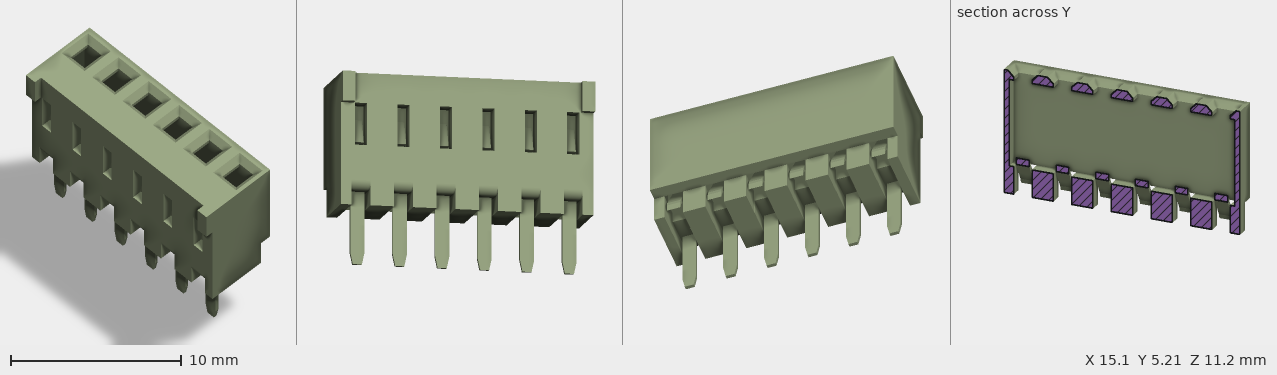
import cadquery as cq
import math

contact_count = 6
pitch = 2.55

housing_width = 15.14
housing_depth = 4.71
housing_height = 7.89
rear_step_depth = 0.75
rear_step_height = 1.79

ear_width = 0.75
ear_height = 1.79
ear_reach = 0.5

cavity_width = 1.15
cavity_length = 1.4
funnel_size = 0.38
neck_height = 0.23

chamber_end_wall = 0.36

slot_width = 1.14
slot_height = 0.98
slot_round = 0.5

pin_width = 0.85
pin_thickness = 0.21
pin_front = 1.03
pin_reach = 3.35
pin_tip_width = 0.55
pin_tip_height = 0.7
lance_width = 0.53
lance_drop = 0.83
lance_height = 1.42
lance_angle = 21.0
spring_slope = math.radians(61.6)
tail_slope = math.radians(75.0)
tail_length = 0.08

window_width = 0.73
window_height = 2.51

cavity_rear = housing_depth - rear_step_depth
cavity_front = cavity_rear - cavity_length
window_top = housing_height - ear_height
contact_places = [((i - (contact_count - 1) / 2) * pitch, 0, 0) for i in range(contact_count)]


def extrude_side_profile(points, width):
    """Extrude a closed (y, z) outline along x, centred on x = 0."""
    return cq.Workplane("YZ").polyline(points).close().extrude(width / 2, both=True)


def block(width, y_start, y_end, z_start, z_end):
    """Box centred on x = 0."""
    return (
        cq.Workplane("XY")
        .box(width, y_end - y_start, z_end - z_start, centered=(True, False, False))
        .translate((0, y_start, z_start))
    )


def at_each_contact(shape):
    """Copies of one shape at every contact position."""
    copies = cq.Workplane("XY")
    for place in contact_places:
        copies = copies.add(shape.translate(place))
    return copies.combine()


def make_housing():
    outline = [
        (0, 0),
        (cavity_rear, 0),
        (cavity_rear, rear_step_height),
        (housing_depth, rear_step_height),
        (housing_depth, housing_height),
        (0, housing_height),
    ]
    housing = extrude_side_profile(outline, housing_width)
    ear = block(ear_width, -ear_reach, 0, window_top, housing_height)
    ear_offset = (housing_width - ear_width) / 2
    for side in (-1, 1):
        housing = housing.union(ear.translate((side * ear_offset, 0, 0)))
    return housing


def make_cavity():
    shaft = block(cavity_width, cavity_front, cavity_rear, 0, housing_height)
    funnel = (
        cq.Workplane("XY", origin=(0, (cavity_front + cavity_rear) / 2, housing_height))
        .rect(cavity_width + 2 * funnel_size, cavity_length + 2 * funnel_size)
        .workplane(offset=-funnel_size)
        .rect(cavity_width, cavity_length)
        .loft(ruled=True)
    )
    return shaft.union(funnel)


def make_chamber():
    """Space from the bottom of the necks down to the level of the rear step."""
    return block(
        housing_width - 2 * chamber_end_wall,
        cavity_front,
        cavity_rear,
        rear_step_height,
        housing_height - funnel_size - neck_height,
    )


def make_slot():
    bend = slot_round * (1 - math.sqrt(0.5))
    return (
        cq.Workplane("YZ")
        .moveTo(0, 0)
        .lineTo(0, slot_height + slot_round)
        .threePointArc((bend, slot_height + bend), (slot_round, slot_height))
        .lineTo(cavity_rear, slot_height)
        .lineTo(cavity_rear, 0)
        .close()
        .extrude(slot_width / 2, both=True)
    )


def make_window():
    return block(window_width, 0, pin_front, window_top - window_height, window_top)


def make_pin():
    shoulder = pin_tip_height - pin_reach
    return (
        cq.Workplane("XZ", origin=(0, pin_front, 0))
        .polyline([
            (-pin_width / 2, slot_height),
            (-pin_width / 2, shoulder),
            (-pin_tip_width / 2, -pin_reach),
            (pin_tip_width / 2, -pin_reach),
            (pin_width / 2, shoulder),
            (pin_width / 2, slot_height),
        ])
        .close()
        .extrude(-pin_thickness)
    )


def make_lance():
    """Wedge leaning out of the window's back wall, its lower end square to its front."""
    lean = math.tan(math.radians(lance_angle))
    lance_reach = lance_height * lean
    top = window_top - lance_drop
    knee = top - lance_height
    outline = [
        (pin_front, top),
        (pin_front - lance_reach, knee),
        (pin_front, knee - lance_reach * lean),
    ]
    return extrude_side_profile(outline, lance_width)


def make_spring():
    """Strip sloping down across the cavity, with a steeper tail against the rear wall."""
    start_y = pin_front + pin_thickness
    bend_y = cavity_rear - tail_length
    bend_z = window_top - (bend_y - start_y) * math.tan(spring_slope)
    tail_z = bend_z - tail_length * math.tan(tail_slope)
    drop = pin_thickness / math.cos(spring_slope)
    outline = [
        (start_y, window_top),
        (bend_y, bend_z),
        (cavity_rear, tail_z),
        (cavity_rear, tail_z - drop),
        (bend_y, bend_z - drop),
        (start_y, window_top - drop),
    ]
    return extrude_side_profile(outline, pin_width)


result = make_housing().cut(make_chamber())
for make_opening in (make_cavity, make_slot, make_window):
    result = result.cut(at_each_contact(make_opening()))
for make_contact_part in (make_pin, make_lance, make_spring):
    result = result.union(at_each_contact(make_contact_part()))